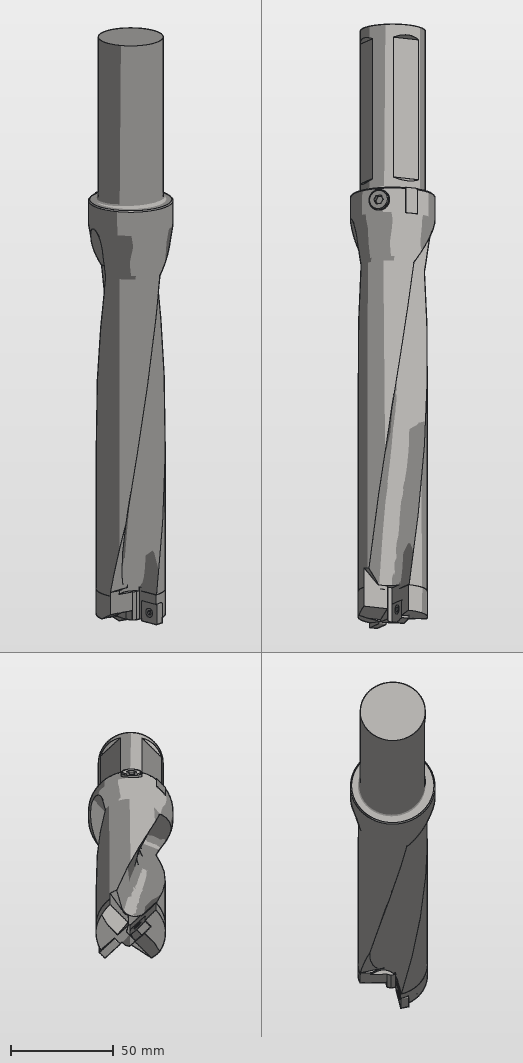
import cadquery as cq
import math


total_length = 296.45
collar_top = 214.0
collar_bottom = 201.3
cone_end = 180.0
neck_top = 178.0
head_top = 16.5
point_rim = 3.7
point_apex = 1.2

shank_radius = 31.75 / 2
collar_radius = 41.27 / 2
cone_end_radius = 17.3
neck_radius = 16.9
head_radius = 16.95
collar_edge_chamfer = 0.6
shank_fillet = 1.6
beyond = 30.0

flat_width = 13.6
flat_depth = shank_radius - math.sqrt(shank_radius**2 - (flat_width / 2) ** 2)
flat_bottom = collar_top + 6.0
flat_top = total_length - 6.6

pad_width = 6.4
pad_face = 20.61
pad_depth = 1.0

flute_start = head_top
twist_per_mm = 0.53
flute_start_angle = 1.5
twist_angle = twist_per_mm * (neck_top - flute_start)
flute_opening = math.radians(76)
flute_tangent_length = 8.9
runout_slope = 0.75

gullet_top = 18.4
flare_top = 55.0
flare_depth = 5.0
flare_upper_x = 10.0
gullet_wall_x = 2.2
gullet_step_far = 4.0
gullet_step_near = 2.3
outer_gap_far = 2.3
outer_gap_near = 1.3
ceiling_slope_start = 9.0
bevel_inner_x = 5.0
bevel_inner_height = 3.0
bevel_wall_height = 7.0
bevel_clearance = 0.1

insert_thickness = 4.0
outer_insert_size = 10.3
outer_insert_bottom = 1.4
outer_insert_left = 7.2
outer_insert_corner = 0.5
outer_insert_x = outer_insert_left + outer_insert_size / 2
outer_insert_z = outer_insert_bottom + outer_insert_size / 2
inner_insert_right = 0.6
inner_insert_left = -9.7
inner_insert_tip_x = -4.0
inner_insert_shoulder = 1.5
inner_insert_top = 10.3
screw_head_diameter = 4.5
screw_head_depth = 2.0
screw_shank_diameter = 3.0
screw_length = 9.0
screw_socket_size = 2.37
screw_socket_depth = 1.0

plug_diameter = 10.14
plug_direction = 135.0
plug_outer_face = 22.0
plug_inner_face = 12.0
plug_chamfer = 0.5
plug_socket_size = 4.15 / math.cos(math.pi / 6)
plug_socket_depth = 3.0
plug_height = (collar_top + collar_bottom) / 2


def turn(shape, angle):
    """Rotate a shape about the tool axis."""
    return shape.rotate((0, 0, 0), (0, 0, 1), angle)


def turned_blank():
    """Shank, collar, cone, neck, head and blunt conical point as one revolved profile."""
    fillet_top = collar_top + shank_fillet
    fillet_bend = shank_fillet * (1 - math.sqrt(0.5))
    profile = (
        cq.Workplane("XZ")
        .moveTo(0, point_apex)
        .lineTo(head_radius, point_rim)
        .lineTo(head_radius, head_top)
        .lineTo(neck_radius, head_top)
        .lineTo(neck_radius, neck_top)
        .lineTo(cone_end_radius, cone_end)
        .lineTo(collar_radius, collar_bottom)
        .lineTo(collar_radius, collar_top - collar_edge_chamfer)
        .lineTo(collar_radius - collar_edge_chamfer, collar_top)
        .lineTo(shank_radius + shank_fillet, collar_top)
        .threePointArc(
            (shank_radius + fillet_bend, collar_top + fillet_bend),
            (shank_radius, fillet_top),
        )
        .lineTo(shank_radius, total_length)
        .lineTo(0, total_length)
        .close()
    )
    return profile.revolve(360, (0, 0, 0), (0, 1, 0))


def shank_flat():
    """Cutter for the flat facing -X, with ends that run out at 45 degrees."""
    floor_x = flat_depth - shank_radius
    return (
        cq.Workplane("XZ")
        .moveTo(floor_x, flat_bottom)
        .lineTo(floor_x, flat_top)
        .lineTo(floor_x - 2 * flat_depth, flat_top + 2 * flat_depth)
        .lineTo(floor_x - 2 * flat_depth, flat_bottom - 2 * flat_depth)
        .close()
        .extrude(beyond, both=True)
    )


def pad_strip(inner_x, outer_x):
    """Block as wide and as high as the locating pad, between two distances toward -X."""
    return cq.Workplane("XY").box(
        outer_x - inner_x,
        pad_width,
        collar_top - collar_bottom,
        centered=(False, True, False),
    ).translate((-outer_x, 0, collar_bottom))


def flute_section():
    """V toward -X, +Y with its corner on the axis, one wall on the X axis and a round floor."""
    half = flute_opening / 2
    floor_radius = flute_tangent_length * math.tan(half)
    floor_distance = flute_tangent_length / math.cos(half) - floor_radius

    def on_ray(distance, angle):
        return (-distance * math.cos(angle), distance * math.sin(angle))

    return (
        cq.Workplane("XY")
        .moveTo(-beyond, 0)
        .lineTo(*on_ray(flute_tangent_length, 0))
        .threePointArc(
            on_ray(floor_distance, half),
            on_ray(flute_tangent_length, flute_opening),
        )
        .lineTo(*on_ray(beyond, flute_opening))
        .lineTo(-beyond, beyond)
        .close()
    )


def flute():
    """Cutter for one helical flute and its slanting runout through the cone."""
    helix = flute_section().twistExtrude(neck_top - flute_start, twist_angle)
    helix = helix.translate((0, 0, flute_start))
    runout_vector = cq.Vector(-runout_slope * beyond, 0, beyond)
    section_wire = flute_section().wires().val()
    runout = cq.Workplane(obj=cq.Solid.extrudeLinear(section_wire, [], runout_vector))
    return helix, turn(runout.translate((0, 0, neck_top)), twist_angle)


def outer_gullet():
    """Chip space in front of the outer insert."""
    return (
        cq.Workplane("XY")
        .polyline([
            (gullet_wall_x, -beyond),
            (gullet_wall_x, -neck_radius),
            (outer_insert_left - outer_gap_far, -gullet_step_far),
            (outer_insert_left - outer_gap_near, -gullet_step_near),
            (outer_insert_left - outer_gap_near, 0),
            (beyond, 0),
            (beyond, -beyond),
        ])
        .close()
        .extrude(gullet_top)
    )


def outer_flare():
    """Sloped cut that widens the outer flute down into its gullet."""
    return (
        cq.Workplane("XZ", origin=(0, -flare_depth, 0))
        .polyline([
            (gullet_wall_x, gullet_top),
            (flare_upper_x, flare_top),
            (beyond, flare_top),
            (beyond, gullet_top),
        ])
        .close()
        .extrude(beyond)
    )


def inner_gullet():
    """Chip space in front of the inner insert, with a ceiling that rises outward."""
    straight = (
        cq.Workplane("XY")
        .polyline([
            (-gullet_wall_x, beyond),
            (-gullet_wall_x, gullet_step_far),
            (inner_insert_right, gullet_step_near),
            (inner_insert_right, 0),
            (-beyond, 0),
            (-beyond, beyond),
        ])
        .close()
        .extrude(gullet_top)
    )
    rise = beyond - ceiling_slope_start
    ceiling = (
        cq.Workplane("YZ", origin=(-gullet_wall_x, 0, 0))
        .polyline([
            (ceiling_slope_start, gullet_top),
            (beyond, gullet_top + rise),
            (beyond, gullet_top),
        ])
        .close()
        .extrude(-beyond)
    )
    return straight.union(ceiling)


def land_bevel():
    """Cutter that bevels the underside of the land beside the inner gullet."""
    return (
        cq.Workplane("XZ", origin=(0, insert_thickness + bevel_clearance, 0))
        .polyline([
            (bevel_inner_x, bevel_inner_height),
            (-gullet_wall_x, bevel_wall_height),
            (-beyond, bevel_wall_height),
            (-beyond, 0),
            (bevel_inner_x, 0),
        ])
        .close()
        .extrude(-beyond)
    )


def facing_plane(side):
    """Plane through the axis whose normal is the insert face: side 1 faces -Y, side -1 faces +Y."""
    return cq.Plane(origin=(0, 0, 0), xDir=(side, 0, 0), normal=(0, -side, 0))


def outer_insert_blank():
    """Square insert with small corner radii."""
    return (
        cq.Workplane(facing_plane(1))
        .center(outer_insert_x, outer_insert_z)
        .rect(outer_insert_size, outer_insert_size)
        .extrude(-insert_thickness)
        .edges("|Y")
        .fillet(outer_insert_corner)
    )


def inner_insert_blank():
    """Five-sided insert whose lower corner is the lowest point of the tool."""
    return (
        cq.Workplane(facing_plane(-1))
        .polyline([
            (-inner_insert_tip_x, 0),
            (-inner_insert_left, inner_insert_shoulder),
            (-inner_insert_left, inner_insert_top),
            (-inner_insert_right, inner_insert_top),
            (-inner_insert_right, inner_insert_shoulder),
        ])
        .close()
        .extrude(-insert_thickness)
    )


def insert_screw_blank(side, local_x, height):
    """Countersunk screw through an insert, flush with the insert face."""
    head = (
        cq.Workplane(facing_plane(side))
        .center(local_x, height)
        .circle(screw_head_diameter / 2)
        .workplane(offset=-screw_head_depth)
        .circle(screw_shank_diameter / 2)
        .loft(ruled=True)
    )
    shank = (
        cq.Workplane(facing_plane(side))
        .center(local_x, height)
        .circle(screw_shank_diameter / 2)
        .extrude(-screw_length)
    )
    return head.union(shank)


def screw_socket(side, local_x, height):
    """Hexagonal key recess in a screw head."""
    return (
        cq.Workplane(facing_plane(side))
        .center(local_x, height)
        .polygon(6, screw_socket_size)
        .extrude(-screw_socket_depth)
    )


def plug_blank():
    """Plug along +X before it is turned to its direction."""
    return (
        cq.Workplane("YZ", origin=(plug_inner_face, 0, plug_height))
        .circle(plug_diameter / 2)
        .extrude(plug_outer_face - plug_inner_face)
        .faces(">X")
        .chamfer(plug_chamfer)
    )


outer_blank = outer_insert_blank()
inner_blank = inner_insert_blank()
screw_places = [
    (1, outer_insert_x, outer_insert_z),
    (-1, -(inner_insert_left + inner_insert_right) / 2, outer_insert_z),
]
screw_blanks = [insert_screw_blank(*place) for place in screw_places]
full_plug = turn(plug_blank(), plug_direction)

body = turned_blank()
body = body.union(pad_strip(pad_face - pad_depth, pad_face))
body = body.cut(pad_strip(pad_face, beyond))
flat = shank_flat()
body = body.cut(flat).cut(turn(flat, -90))
helix, runout = flute()
for angle in (0, 180):
    flute_angle = flute_start_angle + angle
    body = body.cut(turn(helix, flute_angle))
    body = body.cut(turn(runout, flute_angle))
    body = body.cut(turn(land_bevel(), angle))
for chip_space in (outer_gullet(), outer_flare(), inner_gullet()):
    body = body.cut(chip_space)
for seated in (outer_blank, inner_blank, *screw_blanks, full_plug):
    body = body.cut(seated)

outer_insert = outer_blank.cut(screw_blanks[0])
inner_insert = inner_blank.cut(screw_blanks[1])
screws = [blank.cut(screw_socket(*place)) for blank, place in zip(screw_blanks, screw_places)]
plug_socket = (
    cq.Workplane("YZ", origin=(plug_outer_face, 0, plug_height))
    .polygon(6, plug_socket_size)
    .extrude(-plug_socket_depth)
)
plug = full_plug.cut(turn(plug_socket, plug_direction))

result = cq.Compound.makeCompound(
    [body.solids().val(), outer_insert.val(), inner_insert.val(), plug.val()]
    + [screw.solids().val() for screw in screws]
)